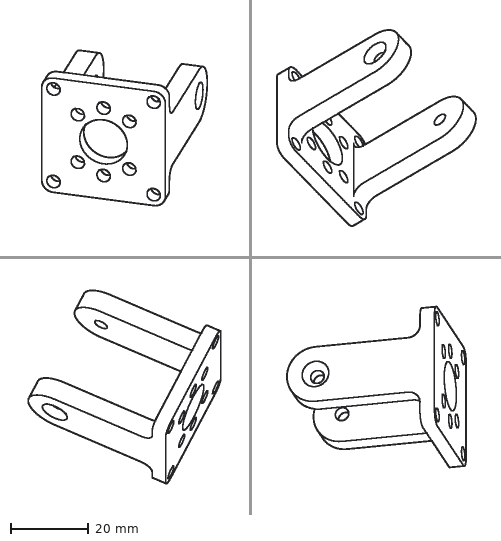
import cadquery as cq
import math

plate_side = 33.25
total_length = 39.37

plate_thickness = 3.85
corner_radius = 3.1
bore_diameter = 12.75
screw_diameter = 3.55
corner_hole_spacing = 26.93
bolt_circle_radius = 9.8
bolt_angles = (45, 90, 135, 225, 270, 315)

arm_thickness = 5.45
arm_width = 15.28
root_fillet = 3.2
pivot_diameter = 3.55
countersink_diameter = 7.1
countersink_angle = 82.0

arm_radius = arm_width / 2
pivot_y = total_length - arm_radius
half_side = plate_side / 2


def make_plate():
    """Rounded square plate with a central bore, bolt circle and corner holes."""
    plate = (
        cq.Workplane("XZ")
        .rect(plate_side, plate_side)
        .extrude(-plate_thickness)
        .edges("|Y")
        .fillet(corner_radius)
    )
    bolt_points = [
        (
            bolt_circle_radius * math.cos(math.radians(angle)),
            bolt_circle_radius * math.sin(math.radians(angle)),
        )
        for angle in bolt_angles
    ]
    half_spacing = corner_hole_spacing / 2
    corner_points = [(x, z) for x in (-half_spacing, half_spacing) for z in (-half_spacing, half_spacing)]
    bore = cq.Workplane("XZ").circle(bore_diameter / 2).extrude(-plate_thickness)
    screw_holes = (
        cq.Workplane("XZ")
        .pushPoints(bolt_points + corner_points)
        .circle(screw_diameter / 2)
        .extrude(-plate_thickness)
    )
    return plate.cut(bore).cut(screw_holes)


def make_left_arm():
    """Round-ended arm on the -X side, flared at its root and countersunk outside."""
    flare_half_width = arm_radius + root_fillet
    flare_end_y = plate_thickness + root_fillet
    fillet_mid = root_fillet * (1 - math.sqrt(0.5))
    arm = (
        cq.Workplane("YZ", origin=(-half_side, 0, 0))
        .moveTo(plate_thickness, -flare_half_width)
        .threePointArc(
            (plate_thickness + fillet_mid, -arm_radius - fillet_mid),
            (flare_end_y, -arm_radius),
        )
        .lineTo(pivot_y, -arm_radius)
        .threePointArc((total_length, 0), (pivot_y, arm_radius))
        .lineTo(flare_end_y, arm_radius)
        .threePointArc(
            (plate_thickness + fillet_mid, arm_radius + fillet_mid),
            (plate_thickness, flare_half_width),
        )
        .close()
        .extrude(arm_thickness)
    )
    return (
        arm.faces("<X")
        .workplane(origin=(-half_side, pivot_y, 0))
        .cskHole(pivot_diameter, countersink_diameter, countersink_angle)
    )


left_arm = make_left_arm()
right_arm = left_arm.mirror("YZ")
result = make_plate().union(left_arm).union(right_arm)